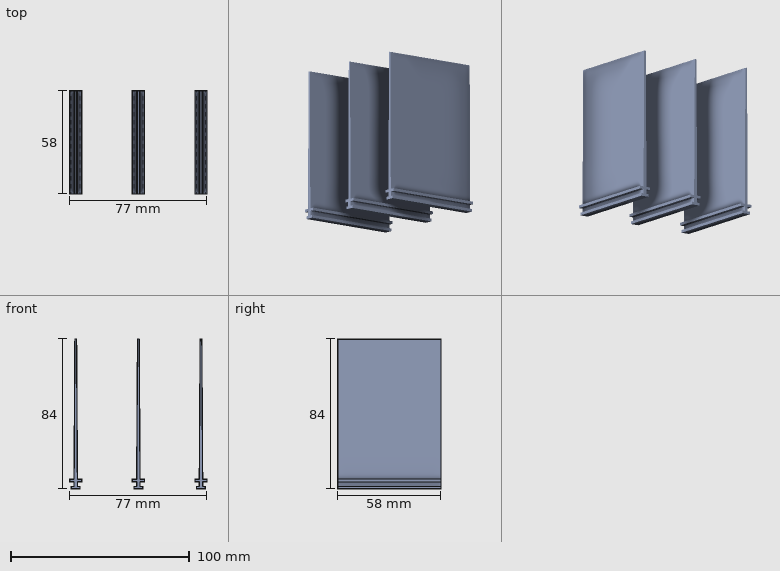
import cadquery as cq

divider_count = 3
divider_pitch = 35.0
divider_length = 58.0
divider_height = 84.0

foot_width = 5.0
foot_thickness = 1.5
neck_width = 2.0
neck_height = 2.5
flange_width = 7.0
flange_thickness = 1.5

plate_root_thickness = 2.0
plate_tip_thickness = 1.1
tip_crown_height = 0.3

flange_bottom = foot_thickness + neck_height
flange_top = flange_bottom + flange_thickness
tip_radius = ((plate_tip_thickness / 2) ** 2 + tip_crown_height**2) / (2 * tip_crown_height)
tip_round_start = divider_height - tip_crown_height


def make_profile():
    """Round-tipped cross section in XZ: one half, mirrored about the plate's mid-plane."""
    return (
        cq.Workplane("XZ")
        .moveTo(0, 0)
        .lineTo(foot_width / 2, 0)
        .lineTo(foot_width / 2, foot_thickness)
        .lineTo(neck_width / 2, foot_thickness)
        .lineTo(neck_width / 2, flange_bottom)
        .lineTo(flange_width / 2, flange_bottom)
        .lineTo(flange_width / 2, flange_top)
        .lineTo(plate_root_thickness / 2, flange_top)
        .lineTo(plate_tip_thickness / 2, tip_round_start)
        .radiusArc((0, divider_height), -tip_radius)
        .mirrorY()
    )


def make_divider(x_position):
    """One divider: the profile extruded evenly to both sides of the XZ plane."""
    divider = make_profile().extrude(divider_length / 2, both=True)
    return divider.translate((x_position, 0, 0))


dividers = []
for index in range(divider_count):
    offset_from_middle = index - (divider_count - 1) / 2
    dividers.append(make_divider(offset_from_middle * divider_pitch))

result = cq.Compound.makeCompound([divider.val() for divider in dividers])